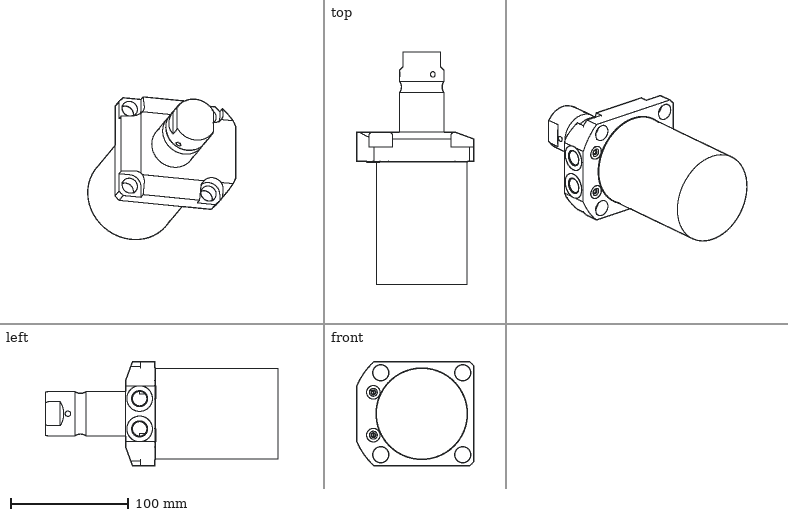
import cadquery as cq
import math


flange_thickness = 25.0
flange_half = 44.5
flange_port_side = 55.5
flange_corner_radius = 60.3
flange_chamfer = 3.5
bevel_drop = 5.8
bevel_run = 15.9

bolt_offset = 35.0
bolt_hole_radius = 6.7
bolt_seat_radius = 10.0
bolt_seat_height = 12.5

total_length = 198.4
rod_length = 68.5
barrel_radius = 38.7
barrel_length = total_length - rod_length - flange_thickness
collar_radius = 39.0
collar_length = 0.5

rod_radius = 19.0
rod_tip = flange_thickness + rod_length
tip_taper_length = 2.4
tip_taper_depth = 0.5
groove_start = 25.2
groove_width = 9.5
groove_depth = 1.5
flat_offset = 16.0
flat_length = 12.7
dimple_count = 3
dimple_from_tip = 19.2
dimple_radius = 2.4
dimple_depth = 2.4

port_spacing = 25.8
port_height = 13.0
port_radius = 6.1
port_chamfer = 0.7
spotface_radius = 11.0
spotface_depth = 0.2

oil_x = -41.3
oil_z = 18.2
oil_hole_radius = 1.49
oil_countersink = 0.5
ring_radius = 4.5
ring_section_radius = 1.2
ring_protrusion = 1.0
ring_seat_radius = ring_radius + ring_section_radius
ring_seat_depth = 2 * ring_section_radius - ring_protrusion
port_depth = flange_port_side + oil_x
oil_positions = [(oil_x, -oil_z), (oil_x, oil_z)]


def cylinder(radius, length, start, direction):
    return cq.Workplane(cq.Solid.makeCylinder(radius, length, cq.Vector(*start), cq.Vector(*direction)))


def along_y(radius, start_y, end_y, x=0.0, z=0.0):
    return cylinder(radius, end_y - start_y, (x, start_y, z), (0, 1, 0))


def countersink(hole_radius, size, mouth, direction):
    """45-degree cutter that widens the mouth of a hole running in the given direction."""
    return cq.Workplane(
        cq.Solid.makeCone(hole_radius + size, hole_radius, size, cq.Vector(*mouth), cq.Vector(*direction))
    )


def block(x_range, y_range, z_range):
    size = [high - low for low, high in (x_range, y_range, z_range)]
    corner = (x_range[0], y_range[0], z_range[0])
    return cq.Workplane(cq.Solid.makeBox(*size, cq.Vector(*corner)))


def make_flange_blank():
    square = block(
        (-flange_port_side, flange_half), (0, flange_thickness), (-flange_half, flange_half)
    )
    square = square.edges("|Y and >X").chamfer(flange_chamfer)
    return square.intersect(along_y(flange_corner_radius, 0, flange_thickness))


def make_edge_bevel():
    """Wedge that slopes the rod side of the flange down to its +X edge."""
    inner = flange_half - bevel_run
    wedge_length = 2 * (flange_half + flange_port_side)
    return (
        cq.Workplane("XY", origin=(0, 0, -wedge_length / 2))
        .moveTo(inner, flange_thickness)
        .lineTo(flange_half, flange_thickness)
        .lineTo(flange_half, flange_thickness - bevel_drop)
        .close()
        .extrude(wedge_length)
    )


def make_bolt_seat(side_x, side_z):
    """Bolt-head seat, open to the nearest top or bottom side and, at +X, to that side too."""
    x = side_x * bolt_offset
    z = side_z * bolt_offset
    heights = (bolt_seat_height, flange_thickness)
    outer_z = side_z * flange_half
    seat = along_y(bolt_seat_radius, *heights, x, z)
    seat = seat.union(
        block((x - bolt_seat_radius, x + bolt_seat_radius), heights, sorted((z, outer_z)))
    )
    if side_x > 0:
        inner_z = z - side_z * bolt_seat_radius
        seat = seat.union(block((x, flange_half), heights, sorted((inner_z, outer_z))))
    return seat


def make_flange():
    flange = make_flange_blank()
    bevel = make_edge_bevel()
    for angle in (-90, 0, 90):
        flange = flange.cut(bevel.rotate((0, 0, 0), (0, 1, 0), angle))
    for side_x in (-1, 1):
        for side_z in (-1, 1):
            hole = along_y(
                bolt_hole_radius, 0, flange_thickness, side_x * bolt_offset, side_z * bolt_offset
            )
            flange = flange.cut(make_bolt_seat(side_x, side_z)).cut(hole)
    return flange


def make_port(z):
    """Side port entering from -X: shallow spotface, chamfered mouth and flat-bottomed bore."""
    mouth = -flange_port_side + spotface_depth
    spotface = cylinder(spotface_radius, spotface_depth, (-flange_port_side, port_height, z), (1, 0, 0))
    bore = cylinder(port_radius, port_depth - spotface_depth, (mouth, port_height, z), (1, 0, 0))
    chamfer = countersink(port_radius, port_chamfer, (mouth, port_height, z), (1, 0, 0))
    return spotface.union(bore).union(chamfer)


def make_oil_passage(x, z):
    """O-ring seat in the mounting face with a countersunk hole that runs into the side port."""
    seat = along_y(ring_seat_radius, 0, ring_seat_depth, x, z)
    hole = along_y(oil_hole_radius, 0, port_height, x, z)
    mouth = (x, ring_seat_depth, z)
    return seat.union(hole).union(countersink(oil_hole_radius, oil_countersink, mouth, (0, 1, 0)))


def make_barrel():
    barrel = along_y(barrel_radius, -barrel_length, 0)
    return barrel.union(along_y(collar_radius, -collar_length, 0))


def make_rod_blank():
    groove_high = rod_tip - groove_start
    groove_low = groove_high - groove_width
    groove_middle = (rod_radius - groove_depth, groove_low + groove_width / 2)
    return (
        cq.Workplane("XY")
        .moveTo(0, flange_thickness)
        .lineTo(rod_radius, flange_thickness)
        .lineTo(rod_radius, groove_low)
        .threePointArc(groove_middle, (rod_radius, groove_high))
        .lineTo(rod_radius, rod_tip - tip_taper_length)
        .lineTo(rod_radius - tip_taper_depth, rod_tip)
        .lineTo(0, rod_tip)
        .close()
        .revolve(360, (0, 0, 0), (0, 1, 0))
    )


def make_wrench_flat():
    """Cutter for the +X flat, whose inner end rises at 45 degrees to the rod surface."""
    flat_depth = rod_radius - flat_offset
    flat_end = rod_tip - flat_length
    return (
        cq.Workplane("XY", origin=(0, 0, -rod_radius))
        .moveTo(flat_offset, rod_tip)
        .lineTo(flat_offset, flat_end)
        .lineTo(rod_radius, flat_end - flat_depth)
        .lineTo(rod_radius, rod_tip)
        .close()
        .extrude(2 * rod_radius)
    )


def make_dimple(angle):
    """Conical dimple pointing at the axis, placed by its angle from +X towards +Z."""
    outward = cq.Vector(math.cos(angle), 0, math.sin(angle))
    point = outward * (rod_radius - dimple_depth) + cq.Vector(0, rod_tip - dimple_from_tip, 0)
    cone_length = 2 * dimple_depth
    return cq.Workplane(cq.Solid.makeCone(0, 2 * dimple_radius, cone_length, point, outward))


def make_rod():
    rod = make_rod_blank()
    flat = make_wrench_flat()
    for turn in (0, 180):
        rod = rod.cut(flat.rotate((0, 0, 0), (0, 1, 0), turn))
    for index in range(dimple_count):
        rod = rod.cut(make_dimple(math.pi + index * 2 * math.pi / dimple_count))
    return rod


def make_clamp():
    clamp = make_flange().union(make_barrel()).union(make_rod())
    for side in (-1, 1):
        clamp = clamp.cut(make_port(side * port_spacing / 2))
    for x, z in oil_positions:
        clamp = clamp.cut(make_oil_passage(x, z))
    return clamp


def make_o_ring(x, z):
    """O-ring resting on its seat and standing slightly proud of the mounting face."""
    section_y = ring_section_radius - ring_protrusion
    section_plane = cq.Plane(origin=(x, 0, z), xDir=(0, -1, 0), normal=(0, 0, 1))
    return (
        cq.Workplane(section_plane)
        .center(-section_y, ring_radius)
        .circle(ring_section_radius)
        .revolve(360, (0, -ring_radius, 0), (1, -ring_radius, 0))
    )


clamp = make_clamp()
o_rings = [make_o_ring(x, z) for x, z in oil_positions]

result = cq.Compound.makeCompound([clamp.solids().val(), *[ring.val() for ring in o_rings]])